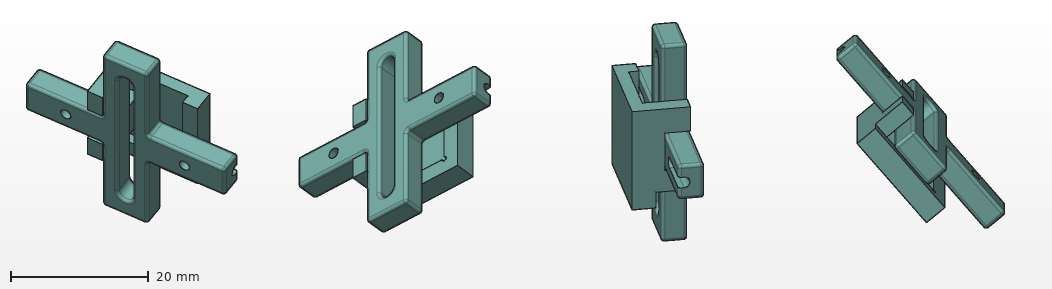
import cadquery as cq


cross_width = 33.62
cross_height = 31.75
cross_thickness = 3.81
upright_width = 7.62
arm_height = 5.55
edge_radius = 0.5

slot_width = 2.54
slot_length = 25.78

hole_diameter = 1.7
hole_spacing = 20.0
groove_width = hole_diameter
groove_depth = 1.7

total_depth = 8.63
wall = 2.54
plate_thickness = 1.99
lip_depth = 3.5
pocket_left = -upright_width / 2
pocket_right = 6.65
pocket_bottom = -6.43
bracket_left = pocket_left - wall
bracket_right = pocket_right + wall
bracket_bottom = pocket_bottom - wall
bracket_top = 6.9
window_height = 6.0
block_width = 2.34
relief_diameter = 0.78


def box(x_range, y_range, z_range):
    """Axis-aligned block spanning the three (low, high) ranges."""
    sizes = [high - low for low, high in (x_range, y_range, z_range)]
    corner = (x_range[0], y_range[0], z_range[0])
    return cq.Workplane("XY").box(*sizes, centered=False).translate(corner)


def centred_bar(width, height):
    """Bar of the cross thickness, centred in X and Z."""
    return box((-width / 2, width / 2), (0, cross_thickness), (-height / 2, height / 2))


def end_groove(side):
    """Round-bottomed groove along the back of one arm, from its hole out to the arm's end."""
    radius = groove_width / 2
    axis_y = cross_thickness - groove_depth + radius
    hole_x = side * hole_spacing / 2
    end_x = side * cross_width / 2
    round_bottom = (
        cq.Workplane("YZ", origin=(hole_x, axis_y, 0)).circle(radius).extrude(end_x - hole_x)
    )
    x_range = (min(hole_x, end_x), max(hole_x, end_x))
    mouth = box(x_range, (axis_y, cross_thickness), (-radius, radius))
    return round_bottom.union(mouth)


def make_cross():
    body = centred_bar(cross_width, arm_height).union(centred_bar(upright_width, cross_height))
    slot = (
        cq.Workplane("XZ")
        .slot2D(slot_length, slot_width, angle=90)
        .extrude(-cross_thickness)
    )
    body = body.edges().fillet(edge_radius)
    body = body.cut(slot)
    rim_x = slot_width / 2 + edge_radius
    rim_z = slot_length / 2 + edge_radius
    slot_zone = cq.selectors.BoxSelector((-rim_x, -edge_radius, -rim_z), (rim_x, total_depth, rim_z))
    body = body.faces("<Y or >Y").edges(slot_zone).fillet(edge_radius)
    holes = (
        cq.Workplane("XZ")
        .pushPoints([(-hole_spacing / 2, 0), (hole_spacing / 2, 0)])
        .circle(hole_diameter / 2)
        .extrude(-cross_thickness)
    )
    body = body.cut(holes)
    for side in (-1, 1):
        body = body.cut(end_groove(side))
    return body


def make_bracket(cross):
    x_range = (bracket_left, bracket_right)
    z_range = (bracket_bottom, bracket_top)
    plate_front = total_depth - plate_thickness
    lip_front = total_depth - lip_depth

    body = box(x_range, (lip_front, total_depth), z_range)
    pocket = box((pocket_left, pocket_right), (lip_front, plate_front), (pocket_bottom, bracket_top))
    body = body.cut(pocket)
    relief = (
        cq.Workplane("XZ", origin=(pocket_right, lip_front, pocket_bottom))
        .circle(relief_diameter / 2)
        .extrude(-(plate_front - lip_front))
    )
    body = body.cut(relief)

    leg = box((bracket_left, pocket_left), (0, total_depth), (pocket_bottom, bracket_top))
    window_z = (-window_height / 2, window_height / 2)
    window = box((bracket_left, pocket_left), (0, cross_thickness), window_z)
    body = body.union(leg.cut(window))

    block_x = (pocket_left, pocket_left + block_width)
    body = body.union(box(block_x, (cross_thickness, plate_front), window_z))

    return body.cut(cross)


cross = make_cross()
bracket = make_bracket(cross)

result = cq.Compound.makeCompound([cross.val(), bracket.val()])